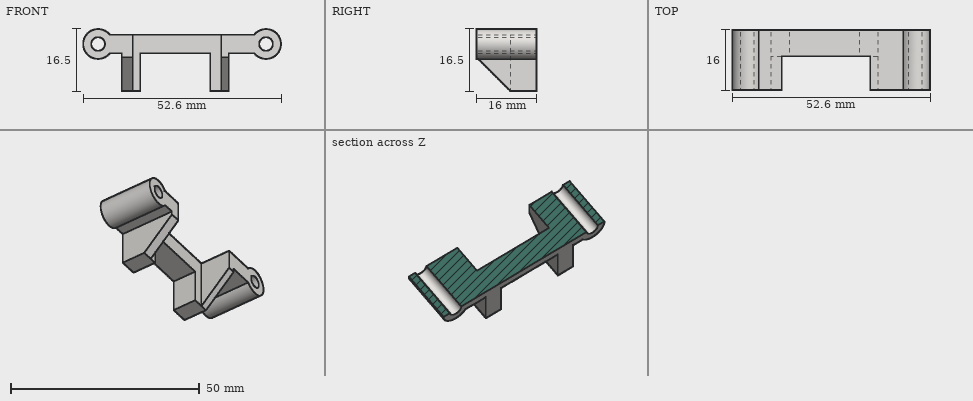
import cadquery as cq

length = 52.6
depth = 16.0
height = 16.5

barrel_radius = 4.0
pin_hole_radius = 1.8
barrel_z = height - barrel_radius
barrel_centers = (barrel_radius, length - barrel_radius)

plate_thickness = 4.95
plate_bottom = barrel_z - plate_thickness / 2

notch_left = 13.25
notch_width = 23.4
back_depth = 7.0
notch_depth = depth - back_depth

leg_width = 5.0
leg_starts = (10.25, 33.75)
slope_size = notch_depth


def box_at(x, y, z, x_size, y_size, z_size):
    """Box placed by its left, front, bottom corner."""
    return cq.Workplane("XY").box(x_size, y_size, z_size, centered=False).translate((x, y, z))


def cylinder_along_y(x, radius):
    """Full-depth cylinder on a barrel axis."""
    return cq.Workplane("XZ").center(x, barrel_z).circle(radius).extrude(-depth)


def leg(x):
    """Leg reaching up into the plate, with a sloped lower front corner."""
    return (
        cq.Workplane("YZ")
        .moveTo(slope_size, 0)
        .lineTo(depth, 0)
        .lineTo(depth, barrel_z)
        .lineTo(0, barrel_z)
        .lineTo(0, slope_size)
        .close()
        .extrude(leg_width)
        .translate((x, 0, 0))
    )


body = box_at(
    barrel_centers[0], 0, plate_bottom,
    barrel_centers[1] - barrel_centers[0], depth, plate_thickness,
)

for leg_x in leg_starts:
    body = body.union(leg(leg_x))

for barrel_x in barrel_centers:
    body = body.union(cylinder_along_y(barrel_x, barrel_radius))

body = body.cut(box_at(notch_left, 0, 0, notch_width, notch_depth, height))

for barrel_x in barrel_centers:
    body = body.cut(cylinder_along_y(barrel_x, pin_hole_radius))

result = body